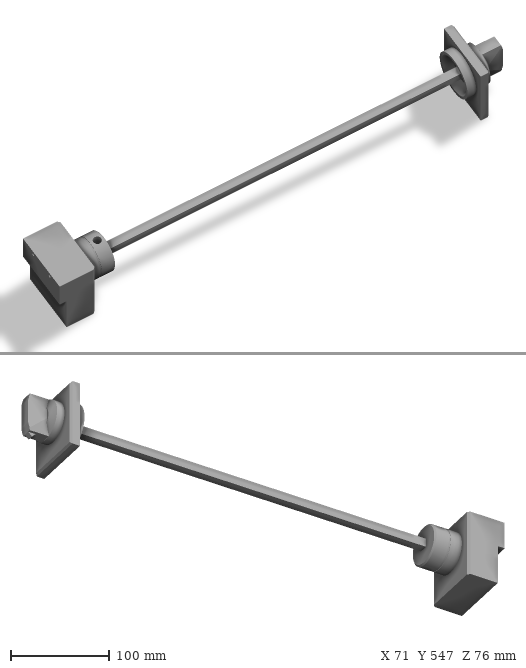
import cadquery as cq

LENGTH = 547.0
WIDTH = 71.0

BLOCK_TOP = 32.0
BLOCK_BOTTOM = -44.0
BLOCK_BACK = 43.0
STEP_DEPTH = 8.0
STEP_Z = 1.0
BLOCK_CHAMFER = 3.0
FRONT_HOLE_D = 3.5
FRONT_HOLE_SPACING = 31.5
FRONT_HOLE_BELOW_TOP = 5.0
FRONT_HOLE_DEPTH = 5.5
COLLAR_D = 46.0
COLLAR_END = 75.0
COLLAR_CHAMFER = 1.5
GROOVE_Y = 57.5
GROOVE_WIDTH = 2.0
GROOVE_DEPTH = 0.5
SCREW_HOLE_D = 9.5
SCREW_HOLE_Y = 67.0

SHAFT_SIDE = 10.0

CUP_FRONT = 492.5
CUP_D = 54.0
CUP_MOUTH_D = 47.0
CUP_FLOOR_D = 30.5
CUP_FLOOR = 502.0
PLATE_FRONT = 502.5
PLATE_BACK = 513.5
PLATE_CHAMFER = 2.0
DISC_D = COLLAR_D
DISC_BACK = 522.5
DOME_D = 26.0
DOME_BACK = 527.0
GRIP_HEIGHT = 45.0
GRIP_END_WIDTH = 13.0
GRIP_TIP_WIDTH = 13.5
GRIP_BASE_WIDTH = 23.0
TIP_BEVEL_DEPTH = 2.0
TIP_BEVEL_HEIGHT = 9.0
POINTER_REACH = 4.5
POINTER_FRONT = 536.0
POINTER_WIDTH = 6.5


def box_between(width, y_start, y_end, z_bottom, z_top):
    """Box centred on X between the given Y and Z limits."""
    block = cq.Workplane("XY").box(width, y_end - y_start, z_top - z_bottom, centered=(True, False, False))
    return block.translate((0, y_start, z_bottom))


def turned(profile):
    """Solid of revolution about the Y axis from (radius, y) points."""
    return cq.Workplane("XY").polyline(profile).close().revolve(360, (0, 0, 0), (0, 1, 0))


def cylinder(diameter, y_start, y_end):
    """Cylinder on the Y axis between the given Y limits."""
    radius = diameter / 2
    return turned([(0, y_start), (radius, y_start), (radius, y_end), (0, y_end)])


def make_shaft():
    """Square bar from the back of the block to the floor of the handle cup."""
    half = SHAFT_SIDE / 2
    return box_between(SHAFT_SIDE, BLOCK_BACK, CUP_FLOOR, -half, half)


def make_mechanism():
    block = box_between(WIDTH, 0, BLOCK_BACK, BLOCK_BOTTOM, BLOCK_TOP)
    block = block.faces(">Y").edges("|Z").chamfer(BLOCK_CHAMFER)
    block = block.cut(box_between(WIDTH, 0, STEP_DEPTH, BLOCK_BOTTOM, STEP_Z))

    for x in (-FRONT_HOLE_SPACING / 2, FRONT_HOLE_SPACING / 2):
        hole = cylinder(FRONT_HOLE_D, 0, FRONT_HOLE_DEPTH)
        block = block.cut(hole.translate((x, 0, BLOCK_TOP - FRONT_HOLE_BELOW_TOP)))

    collar = cylinder(COLLAR_D, BLOCK_BACK, COLLAR_END).faces(">Y").chamfer(COLLAR_CHAMFER)
    groove_start = GROOVE_Y - GROOVE_WIDTH / 2
    groove_end = GROOVE_Y + GROOVE_WIDTH / 2
    groove = cylinder(COLLAR_D, groove_start, groove_end).cut(
        cylinder(COLLAR_D - 2 * GROOVE_DEPTH, groove_start, groove_end)
    )
    screw_hole = cq.Workplane("XY").center(0, SCREW_HOLE_Y).circle(SCREW_HOLE_D / 2).extrude(COLLAR_D)
    return block.union(collar.cut(groove).cut(screw_hole)).cut(make_shaft())


def make_grip():
    """Tapered grip with a six-sided section, bevelled at its tip."""
    half_height = GRIP_HEIGHT / 2
    half_end = GRIP_END_WIDTH / 2
    half_tip = GRIP_TIP_WIDTH / 2
    half_base = GRIP_BASE_WIDTH / 2
    section = [
        (half_end, half_height),
        (half_base, 0),
        (half_end, -half_height),
        (-half_end, -half_height),
        (-half_base, 0),
        (-half_end, half_height),
    ]
    prism = cq.Workplane("XZ", origin=(0, LENGTH, 0)).polyline(section).close().extrude(LENGTH - DISC_BACK)
    taper = (
        cq.Workplane("XY")
        .polyline(
            [
                (half_base, DISC_BACK),
                (half_tip, LENGTH),
                (-half_tip, LENGTH),
                (-half_base, DISC_BACK),
            ]
        )
        .close()
        .extrude(half_height, both=True)
    )
    tip_shoulder = LENGTH - TIP_BEVEL_DEPTH
    half_tip_flat = half_height - TIP_BEVEL_HEIGHT
    side_outline = (
        cq.Workplane("YZ")
        .polyline(
            [
                (DISC_BACK, -half_height),
                (tip_shoulder, -half_height),
                (LENGTH, -half_tip_flat),
                (LENGTH, half_tip_flat),
                (tip_shoulder, half_height),
                (DISC_BACK, half_height),
            ]
        )
        .close()
        .extrude(half_base, both=True)
    )
    pointer_middle = (POINTER_FRONT + tip_shoulder) / 2
    pointer = (
        cq.Workplane("YZ")
        .polyline(
            [
                (POINTER_FRONT, -half_height),
                (pointer_middle, -half_height - POINTER_REACH),
                (tip_shoulder, -half_height),
                (pointer_middle, 0),
            ]
        )
        .close()
        .extrude(POINTER_WIDTH / 2, both=True)
    )
    return prism.intersect(taper).intersect(side_outline).union(pointer)


def make_handle():
    plate = box_between(WIDTH, PLATE_FRONT, PLATE_BACK, BLOCK_BOTTOM, BLOCK_TOP)
    plate = plate.faces(">Y").edges().chamfer(PLATE_CHAMFER)
    cup = cylinder(CUP_D, CUP_FRONT, PLATE_FRONT)
    disc = turned(
        [
            (0, PLATE_BACK),
            (DISC_D / 2, PLATE_BACK),
            (DISC_D / 2, DISC_BACK),
            (DOME_D / 2, DOME_BACK),
            (0, DOME_BACK),
        ]
    )
    cavity = turned([(0, CUP_FRONT), (CUP_MOUTH_D / 2, CUP_FRONT), (CUP_FLOOR_D / 2, CUP_FLOOR), (0, CUP_FLOOR)])
    return plate.union(cup).union(disc).union(make_grip()).cut(cavity)


mechanism = make_mechanism()
shaft = make_shaft()
handle = make_handle()

result = cq.Compound.makeCompound([mechanism.val(), shaft.val(), handle.val()])